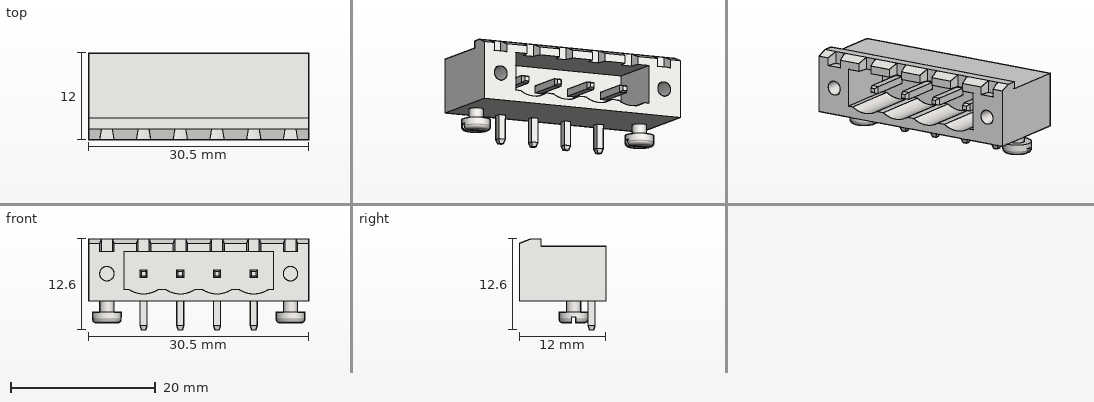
import cadquery as cq


pitch = 5.08
pin_count = 4
row_half = pitch * (pin_count - 1) / 2
pin_xs = [-row_half + pitch * i for i in range(pin_count)]
flange_xs = [-row_half - pitch, row_half + pitch]

housing_length = pitch * (pin_count + 2)
housing_depth = 12.0
housing_height = 8.6
lip_depth = 3.0
lip_step = 1.0
lip_bevel_depth = 1.5
lip_bevel_drop = 0.6

cavity_length = 20.7
cavity_depth = 8.5
cavity_floor_z = 1.6
cavity_top_z = 6.9
trough_width = 4.0
trough_drop = 0.6

notch_depth = 1.5
notch_front_width = 2.0
notch_rear_width = 1.5

pin_size = 1.0
pin_tip_size = 0.6
pin_taper = 0.6
mating_axis_z = 3.8
pin_front_y = 2.0
pin_leg_inset = 2.0
pin_leg_y = housing_depth - pin_leg_inset
pin_bottom_z = -4.0

flange_hole_diameter = 2.0
flange_hole_depth = 6.0
screw_y = 7.5
screw_shank_diameter = 2.0
screw_shank_length = 1.5
screw_head_diameter = 4.0
screw_head_height = 1.5
screw_head_round = 0.5
screw_slot_width = 0.55
screw_slot_depth = 0.8


def make_housing():
    """Stepped block with a bevelled lip along the top of the open face."""
    profile = (
        cq.Workplane("YZ")
        .moveTo(0, 0)
        .lineTo(housing_depth, 0)
        .lineTo(housing_depth, housing_height - lip_step)
        .lineTo(lip_depth, housing_height - lip_step)
        .lineTo(lip_depth, housing_height)
        .lineTo(lip_bevel_depth, housing_height)
        .lineTo(0, housing_height - lip_bevel_drop)
        .close()
    )
    return profile.extrude(housing_length / 2, both=True)


def make_cavity():
    """Cavity volume: a rectangle whose lower edge dips into an arc under each pin."""
    outline = cq.Workplane("XZ").moveTo(-cavity_length / 2, cavity_floor_z)
    for x in pin_xs:
        outline = outline.lineTo(x - trough_width / 2, cavity_floor_z).threePointArc(
            (x, cavity_floor_z - trough_drop),
            (x + trough_width / 2, cavity_floor_z),
        )
    outline = (
        outline.lineTo(cavity_length / 2, cavity_floor_z)
        .lineTo(cavity_length / 2, cavity_top_z)
        .lineTo(-cavity_length / 2, cavity_top_z)
        .close()
    )
    return outline.extrude(-cavity_depth)


def make_notch(x):
    """Wedge-shaped notch, wider at the open face, cut down through the lip."""
    return (
        cq.Workplane("XY", origin=(x, 0, cavity_top_z))
        .moveTo(-notch_front_width / 2, 0)
        .lineTo(notch_front_width / 2, 0)
        .lineTo(notch_rear_width / 2, notch_depth)
        .lineTo(-notch_rear_width / 2, notch_depth)
        .close()
        .extrude(housing_height - cavity_top_z)
    )


def make_flange_hole(x):
    """Blind round hole in the open face."""
    hole = cq.Workplane("XZ", origin=(x, 0, mating_axis_z)).circle(flange_hole_diameter / 2)
    return hole.extrude(-flange_hole_depth)


def make_bar(tip, direction, length):
    """Square bar that starts with a tapered tip and runs along the given direction."""
    plane = cq.Plane(origin=tip, xDir=(1, 0, 0), normal=direction)
    taper = (
        cq.Workplane(plane)
        .rect(pin_tip_size, pin_tip_size)
        .workplane(offset=pin_taper)
        .rect(pin_size, pin_size)
        .loft(ruled=True)
    )
    shaft = cq.Workplane(plane).workplane(offset=pin_taper).rect(pin_size, pin_size)
    return taper.union(shaft.extrude(length - pin_taper))


def make_pin(x):
    """Right-angle pin: a contact in the cavity joined to a solder leg below the housing."""
    contact_length = pin_leg_y + pin_size / 2 - pin_front_y
    leg_length = mating_axis_z + pin_size / 2 - pin_bottom_z
    contact = make_bar((x, pin_front_y, mating_axis_z), (0, 1, 0), contact_length)
    leg = make_bar((x, pin_leg_y, pin_bottom_z), (0, 0, 1), leg_length)
    return contact.union(leg)


def make_screw(x):
    """Slotted screw hanging from the underside of the housing."""
    head_bottom_z = -screw_shank_length - screw_head_height
    slot = cq.Workplane("XY", origin=(x, screw_y, head_bottom_z)).box(
        screw_head_diameter, screw_slot_width, screw_slot_depth, centered=(True, True, False)
    )
    head = (
        cq.Workplane("XY", origin=(x, screw_y, head_bottom_z))
        .circle(screw_head_diameter / 2)
        .extrude(screw_head_height)
        .faces("<Z")
        .edges()
        .fillet(screw_head_round)
        .cut(slot)
    )
    shank = (
        cq.Workplane("XY", origin=(x, screw_y, -screw_shank_length))
        .circle(screw_shank_diameter / 2)
        .extrude(screw_shank_length)
    )
    return head.union(shank)


result = make_housing().cut(make_cavity())
for x in pin_xs + flange_xs:
    result = result.cut(make_notch(x))
for x in flange_xs:
    result = result.cut(make_flange_hole(x))
    result = result.union(make_screw(x))
for x in pin_xs:
    result = result.union(make_pin(x))